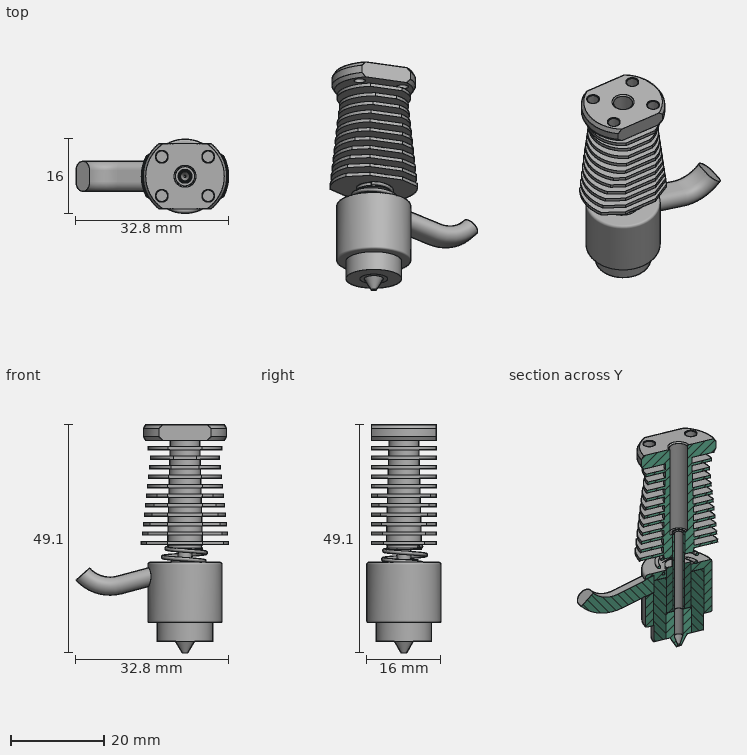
import cadquery as cq
import math

TOTAL_HEIGHT = 49.1

TIP_HEIGHT = 2.5
TIP_DIA = 1.2
TIP_BASE_DIA = 4.1
ORIFICE_DIA = 0.39
ORIFICE_LENGTH = 0.4
NOZZLE_BORE_DIA = 1.95
NOZZLE_TOP_Z = 8.85
THREAD_DIA = 6.0
CORE_DIA = 12.0

HOUSING_DIA = 16.0
HOUSING_BOTTOM_Z = 6.55
HOUSING_TOP_Z = 19.55
HOUSING_ROOF = 1.95
HOUSING_TOP_FILLET = 0.6
HOUSING_BOTTOM_FILLET = 0.4
CORE_TOP_Z = HOUSING_TOP_Z - HOUSING_ROOF

BUSHING_PROTRUSION = 0.6
BUSHING_TOP_Z = HOUSING_TOP_Z + BUSHING_PROTRUSION
TUBE_DIA = 3.0
TUBE_BORE_DIA = 2.0
TUBE_OUTER_CHAMFER = 0.15
TUBE_INNER_CHAMFER = 0.22
TUBE_TOP_Z = 28.0

FLANGE_DIA = 17.95
FLANGE_THICKNESS = 3.45
FLANGE_CHAMFER_WIDTH = 0.55
FLANGE_CHAMFER_HEIGHT = 0.9
FLAT_WIDTH = 14.0
FLANGE_BOTTOM_Z = TOTAL_HEIGHT - FLANGE_THICKNESS
STEM_TOP_DIA = 6.45
STEM_DIA_STEP = 0.11
BOSS_DIA = 7.5
FIN_COUNT = 11
FIN_STACK_SPAN = 20.35
FIN_PITCH = FIN_STACK_SPAN / (FIN_COUNT - 1)
FIN_THICKNESS = 0.75
FIN_GAP_BELOW_FLANGE = 1.3
TOP_FIN_RADIUS = 7.9
SECOND_FIN_RADIUS = 7.4
FIN_RADIUS_STEP = 0.22
SIDE_FLAT_DISTANCE = 7.95
SIDE_FLAT_ANGLE = 30.0
SLAB_LENGTH = 2 * FLANGE_DIA
TOP_FIN_Z = FLANGE_BOTTOM_Z - FIN_GAP_BELOW_FLANGE - FIN_THICKNESS
BOTTOM_FIN_Z = TOP_FIN_Z - FIN_STACK_SPAN
BOSS_HEIGHT = 1.0
BOSS_GROOVE_RADIUS = 0.4
BOSS_GROOVE_DEPTH = 0.2
BOSS_GROOVE_DROP = 0.4
BOSS_BOTTOM_Z = BOTTOM_FIN_Z - BOSS_HEIGHT
FILAMENT_BORE_DIA = 4.1
FILAMENT_BORE_CHAMFER = 0.3
SCREW_HOLE_DIA = 2.45
SCREW_HOLE_CHAMFER = 0.15
SCREW_SPACING_X = 9.95
SCREW_SPACING_Y = 8.4

WIRE_DIA = 0.8
SPRING_PITCH = 1.85
SPRING_MID_Z = 20.85
SPRING_MID_RADIUS = 4.8
SPRING_TAPER_PER_TURN = 1.05
HALF_SPRING_TURNS = 1.2
SPRING_SEAM_ANGLE = 131.0
HALF_SPRING_POINTS = 60

CABLE_WIDTH = 6.5
CABLE_HEIGHT = 3.95
CABLE_TILT = 15.0
CABLE_BEND_ANGLE = 63.0
CABLE_BEND_RADIUS = 7.85
BEND_START_X = -14.1
BEND_START_Z = 14.65


def cylinder(diameter, bottom_z, top_z):
    return cq.Workplane("XY").workplane(offset=bottom_z).circle(diameter / 2).extrude(top_z - bottom_z)


def cone(bottom_dia, top_dia, bottom_z, top_z):
    height = top_z - bottom_z
    return cq.Workplane(cq.Solid.makeCone(bottom_dia / 2, top_dia / 2, height, cq.Vector(0, 0, bottom_z)))


def slab(distance, angle, bottom_z, top_z):
    """Plate with two parallel faces at the given distance on either side of the axis."""
    plate = cq.Workplane("XY").rect(SLAB_LENGTH, 2 * distance).extrude(top_z - bottom_z)
    return plate.rotate((0, 0, 0), (0, 0, 1), angle).translate((0, 0, bottom_z))


def make_flange():
    flange = cylinder(FLANGE_DIA, FLANGE_BOTTOM_Z, TOTAL_HEIGHT)
    flange = flange.faces("<Z or >Z").chamfer(FLANGE_CHAMFER_HEIGHT, FLANGE_CHAMFER_WIDTH)
    return flange.intersect(slab(FLAT_WIDTH / 2, 0, FLANGE_BOTTOM_Z, TOTAL_HEIGHT))


def make_fin(index):
    """Round fin trimmed by six flats; the radius grows downward from the second fin."""
    radius = TOP_FIN_RADIUS if index == 0 else SECOND_FIN_RADIUS + (index - 1) * FIN_RADIUS_STEP
    bottom_z = TOP_FIN_Z - index * FIN_PITCH
    top_z = bottom_z + FIN_THICKNESS
    fin = cylinder(2 * radius, bottom_z, top_z)
    fin = fin.intersect(slab(FLAT_WIDTH / 2, 0, bottom_z, top_z))
    for angle in (SIDE_FLAT_ANGLE, -SIDE_FLAT_ANGLE):
        fin = fin.intersect(slab(SIDE_FLAT_DISTANCE, angle, bottom_z, top_z))
    return fin


def make_boss():
    """Round boss under the lowest fin with a shallow round-bottomed groove around it."""
    boss = cylinder(BOSS_DIA, BOSS_BOTTOM_Z, BOTTOM_FIN_Z)
    ring_radius = BOSS_DIA / 2 - BOSS_GROOVE_DEPTH + BOSS_GROOVE_RADIUS
    groove_center = cq.Vector(0, 0, BOTTOM_FIN_Z - BOSS_GROOVE_DROP)
    return boss.cut(cq.Workplane(cq.Solid.makeTorus(ring_radius, BOSS_GROOVE_RADIUS, groove_center)))


def make_heat_sink(spring):
    sink = make_flange()
    stem_top_z = FLANGE_BOTTOM_Z
    for index in range(FIN_COUNT):
        stem_bottom_z = TOP_FIN_Z - index * FIN_PITCH
        sink = sink.union(cylinder(STEM_TOP_DIA + index * STEM_DIA_STEP, stem_bottom_z, stem_top_z))
        sink = sink.union(make_fin(index))
        stem_top_z = stem_bottom_z
    sink = sink.union(make_boss())

    chamfer_dia = FILAMENT_BORE_DIA + 2 * FILAMENT_BORE_CHAMFER
    sink = sink.cut(cylinder(FILAMENT_BORE_DIA, TUBE_TOP_Z, TOTAL_HEIGHT))
    sink = sink.cut(cone(FILAMENT_BORE_DIA, chamfer_dia, TOTAL_HEIGHT - FILAMENT_BORE_CHAMFER, TOTAL_HEIGHT))
    sink = sink.cut(cylinder(TUBE_DIA, BOSS_BOTTOM_Z, TUBE_TOP_Z))

    screw_hole = cylinder(SCREW_HOLE_DIA, FLANGE_BOTTOM_Z, TOTAL_HEIGHT)
    countersink_dia = SCREW_HOLE_DIA + 2 * SCREW_HOLE_CHAMFER
    screw_hole = screw_hole.union(
        cone(SCREW_HOLE_DIA, countersink_dia, TOTAL_HEIGHT - SCREW_HOLE_CHAMFER, TOTAL_HEIGHT)
    )
    for x in (-SCREW_SPACING_X / 2, SCREW_SPACING_X / 2):
        for y in (-SCREW_SPACING_Y / 2, SCREW_SPACING_Y / 2):
            sink = sink.cut(screw_hole.translate((x, y, 0)))

    return sink.cut(spring)


def make_tube():
    tube = cylinder(TUBE_DIA, NOZZLE_TOP_Z, TUBE_TOP_Z).faces(">Z").chamfer(TUBE_OUTER_CHAMFER)
    tube = tube.cut(cylinder(TUBE_BORE_DIA, NOZZLE_TOP_Z, TUBE_TOP_Z))
    entry_dia = TUBE_BORE_DIA + 2 * TUBE_INNER_CHAMFER
    return tube.cut(cone(TUBE_BORE_DIA, entry_dia, TUBE_TOP_Z - TUBE_INNER_CHAMFER, TUBE_TOP_Z))


def make_bushing():
    bushing = cylinder(THREAD_DIA, NOZZLE_TOP_Z, BUSHING_TOP_Z)
    return bushing.cut(cylinder(TUBE_DIA, NOZZLE_TOP_Z, BUSHING_TOP_Z))


def make_nozzle():
    nozzle = cone(TIP_DIA, TIP_BASE_DIA, 0, TIP_HEIGHT)
    nozzle = nozzle.union(cylinder(THREAD_DIA, TIP_HEIGHT, NOZZLE_TOP_Z))
    nozzle = nozzle.cut(cylinder(ORIFICE_DIA, 0, ORIFICE_LENGTH))
    nozzle = nozzle.cut(cone(ORIFICE_DIA, NOZZLE_BORE_DIA, ORIFICE_LENGTH, TIP_HEIGHT))
    return nozzle.cut(cylinder(NOZZLE_BORE_DIA, TIP_HEIGHT, NOZZLE_TOP_Z))


def make_core():
    core = cylinder(CORE_DIA, TIP_HEIGHT, CORE_TOP_Z)
    return core.cut(cylinder(THREAD_DIA, TIP_HEIGHT, CORE_TOP_Z))


def half_spring_point(fraction):
    """Point on the upper half's centreline; it starts on the +X axis and winds clockwise upward."""
    turns = fraction * HALF_SPRING_TURNS
    angle = -2 * math.pi * turns
    radius = SPRING_MID_RADIUS - SPRING_TAPER_PER_TURN * turns
    return (radius * math.cos(angle), radius * math.sin(angle), SPRING_PITCH * turns)


def make_spring():
    centreline = cq.Workplane("XY").parametricCurve(half_spring_point, N=HALF_SPRING_POINTS, makeWire=True)
    wire_section = cq.Workplane("XZ").center(SPRING_MID_RADIUS, 0).circle(WIRE_DIA / 2)
    upper_half = wire_section.sweep(centreline, isFrenet=True)
    lower_half = upper_half.rotate((0, 0, 0), (1, 0, 0), 180)
    spring = upper_half.union(lower_half)
    spring = spring.rotate((0, 0, 0), (0, 0, 1), SPRING_SEAM_ANGLE)
    return spring.translate((0, 0, SPRING_MID_Z))


def make_cable():
    tilt = math.radians(CABLE_TILT)
    run_start = (0, BEND_START_Z - BEND_START_X * math.tan(tilt))
    bend_center_x = BEND_START_X - CABLE_BEND_RADIUS * math.sin(tilt)
    bend_center_z = BEND_START_Z + CABLE_BEND_RADIUS * math.cos(tilt)

    def bend_point(turned_degrees):
        angle = math.radians(CABLE_TILT - 90 - turned_degrees)
        return (
            bend_center_x + CABLE_BEND_RADIUS * math.cos(angle),
            bend_center_z + CABLE_BEND_RADIUS * math.sin(angle),
        )

    path = cq.Workplane("XZ").moveTo(*run_start).lineTo(BEND_START_X, BEND_START_Z)
    path = path.threePointArc(bend_point(CABLE_BEND_ANGLE / 2), bend_point(CABLE_BEND_ANGLE))
    section_plane = cq.Plane(
        origin=(run_start[0], 0, run_start[1]),
        xDir=(0, 1, 0),
        normal=(-math.cos(tilt), 0, -math.sin(tilt)),
    )
    cable = cq.Workplane(section_plane).slot2D(CABLE_WIDTH, CABLE_HEIGHT).sweep(path)
    return cable.cut(cylinder(CORE_DIA, 0, TOTAL_HEIGHT))


def make_housing(cable, spring):
    housing = cylinder(HOUSING_DIA, HOUSING_BOTTOM_Z, HOUSING_TOP_Z)
    housing = housing.faces(">Z").edges().fillet(HOUSING_TOP_FILLET)
    housing = housing.faces("<Z").edges().fillet(HOUSING_BOTTOM_FILLET)
    housing = housing.cut(cylinder(CORE_DIA, HOUSING_BOTTOM_Z, CORE_TOP_Z))
    housing = housing.cut(cylinder(THREAD_DIA, CORE_TOP_Z, HOUSING_TOP_Z))
    return housing.cut(cable).cut(spring)


spring = make_spring()
cable = make_cable()
heat_sink = make_heat_sink(spring)
tube = make_tube()
bushing = make_bushing()
nozzle = make_nozzle()
core = make_core()
housing = make_housing(cable, spring)

bodies = [heat_sink, tube, bushing, spring, housing, core, nozzle, cable]
result = cq.Compound.makeCompound([body.solids().val() for body in bodies])